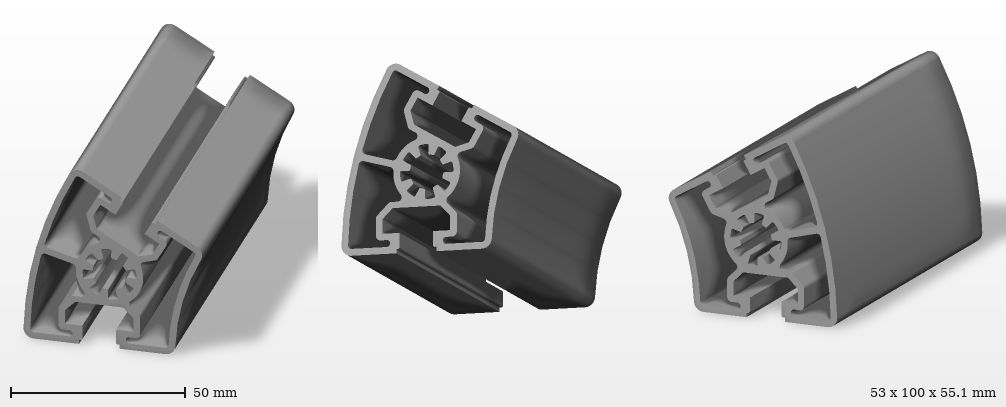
import cadquery as cq
import math

length = 100.0
bend_angle = 30.0
mean_radius = 90.0
section_width = 45.0
wall = 2.0
outer_corner_radius = 3.0
chamber_corner_radius = 1.0
shell_corner_radius = 1.4
junction_fillet = 1.2

mouth_half = 5.0
mouth_step_half = 6.0
mouth_step_depth = 1.3
lip_depth = 5.9
lip_corner_chamfer = 0.3
cavity_half = 10.1
cavity_depth = 13.2
cavity_chamfer = 3.0
groove_end_half = 7.9
groove_height = 2.0
roof_wall = 1.8

hub_radius = 10.0
bore_radius = 8.0
tooth_count = 8
tooth_tip_radius = 5.0
tooth_tip_half = 0.85
tooth_root_half = 1.6
tooth_fillet = 0.4

half_angle = bend_angle / 2
inner_radius = mean_radius - section_width / 2
outer_radius = mean_radius + section_width / 2


def polar(radius, elevation):
    """Section point at a radius from the pivot, raised by an angle from the lower face."""
    angle = math.radians(180 - elevation)
    return radius * math.cos(angle), radius * math.sin(angle)


hub_center = polar(mean_radius, half_angle)


def section():
    """Workplane across the profile: local x is X, local y is Z."""
    return cq.Workplane("XZ")


def extrude(outline):
    return outline.extrude(length / 2, both=True)


def sector(inset=0.0):
    """Outline of the bent block between the two slotted faces, moved inwards by an inset."""
    near = inner_radius + inset
    far = outer_radius - inset
    near_start = math.degrees(math.asin(inset / near))
    far_start = math.degrees(math.asin(inset / far))
    return (
        section()
        .moveTo(*polar(far, far_start))
        .threePointArc(polar(far, half_angle), polar(far, bend_angle - far_start))
        .lineTo(*polar(near, bend_angle - near_start))
        .threePointArc(polar(near, half_angle), polar(near, near_start))
        .close()
    )


def on_both_faces(lower):
    """Add the copy of a lower-face feature that belongs to the upper face."""
    upper = lower.mirror("XY").rotate((0, 0, 0), (0, 1, 0), bend_angle)
    return lower.union(upper)


def symmetric_slot_shape(half_outline):
    """Solid from the right half of an outline, mirrored about the slot centre line."""
    left_half = [(-u, v) for u, v in reversed(half_outline)]
    outline = section().center(-mean_radius, 0).polyline(half_outline + left_half).close()
    return extrude(outline)


def slot_cavity():
    return symmetric_slot_shape([
        (mouth_step_half, 0),
        (mouth_step_half, mouth_step_depth),
        (mouth_half + lip_corner_chamfer, mouth_step_depth),
        (mouth_half, mouth_step_depth + lip_corner_chamfer),
        (mouth_half, lip_depth),
        (cavity_half, lip_depth),
        (cavity_half, cavity_depth - cavity_chamfer),
        (cavity_half - cavity_chamfer, cavity_depth),
    ])


def slot_shell():
    """Material envelope around a slot: its lips, and a rounded wall around the cavity."""
    shell_half = cavity_half + wall
    shell_depth = cavity_depth + roof_wall
    shell_chamfer = cavity_chamfer + roof_wall * (2 - math.sqrt(2))
    groove_radius = groove_height / 2
    groove_top = wall + groove_height
    groove_center = groove_end_half + groove_radius
    shell = symmetric_slot_shape([
        (shell_half, groove_top),
        (shell_half, shell_depth - shell_chamfer),
        (shell_half - shell_chamfer, shell_depth),
    ]).edges("|Y").fillet(shell_corner_radius)
    lips = symmetric_slot_shape([(groove_center, 0), (groove_center, lip_depth)])
    groove_ends = extrude(
        section()
        .center(-mean_radius, wall + groove_radius)
        .pushPoints([(-groove_center, 0), (groove_center, 0)])
        .circle(groove_radius)
    )
    return shell.union(lips).cut(groove_ends)


def web():
    """Straight web joining the hub to the outer curved wall."""
    web_length = section_width / 2
    outline = (
        section()
        .center(*polar(mean_radius + web_length / 2, half_angle))
        .transformed(rotate=(0, 0, -half_angle))
        .rect(web_length, wall)
    )
    return extrude(outline)


def edges_around(center, reach):
    """Selector for the lengthwise edges within a square around a section point."""
    x, z = center
    square = cq.selectors.BoxSelector((x - reach, -length, z - reach), (x + reach, length, z + reach))
    return cq.selectors.AndSelector(cq.selectors.StringSyntaxSelector("|Y"), square)


def chambers():
    """The three hollow chambers left between walls, slots, hub and web."""
    hub = extrude(section().center(*hub_center).circle(hub_radius))
    hollow = extrude(sector(wall)).edges("|Y").fillet(chamber_corner_radius)
    hollow = hollow.cut(on_both_faces(slot_shell())).cut(hub).cut(web())
    web_root = polar(outer_radius - wall, half_angle)
    hollow = hollow.edges(edges_around(hub_center, hub_radius + wall / 2)).fillet(junction_fillet)
    return hollow.edges(edges_around(web_root, wall)).fillet(junction_fillet)


def toothed_bore():
    """Hub bore less its tapered inward teeth."""
    bore = extrude(section().center(*hub_center).circle(bore_radius))
    root_reach = (bore_radius + hub_radius) / 2
    taper = (tooth_root_half - tooth_tip_half) / (bore_radius - tooth_tip_radius)
    reach_half = tooth_tip_half + taper * (root_reach - tooth_tip_radius)
    for index in range(tooth_count):
        tooth = (
            section()
            .center(*hub_center)
            .transformed(rotate=(0, 0, -half_angle + index * 360 / tooth_count))
            .polyline([
                (tooth_tip_radius, -tooth_tip_half),
                (root_reach, -reach_half),
                (root_reach, reach_half),
                (tooth_tip_radius, tooth_tip_half),
            ])
            .close()
        )
        bore = bore.cut(extrude(tooth))
    return bore.edges("|Y").fillet(tooth_fillet)


block = extrude(sector()).edges("|Y").fillet(outer_corner_radius)
profile = block.cut(on_both_faces(slot_cavity())).cut(chambers()).cut(toothed_bore())

result = profile.translate((-hub_center[0], 0, -hub_center[1]))